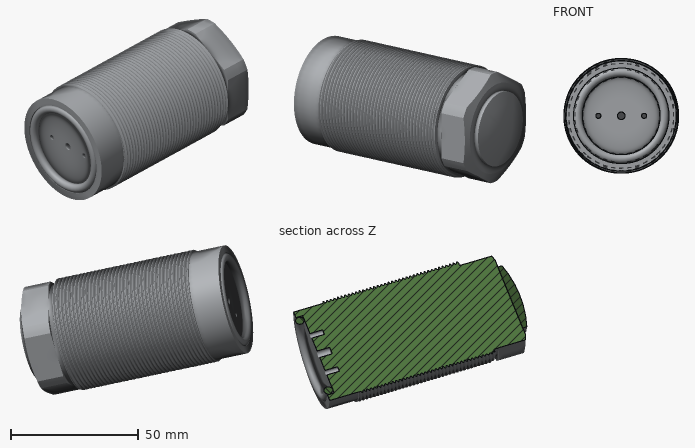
import cadquery as cq
import math


thread_start = 12.2
thread_end = 68.75
hex_start = 70.6
hex_end = 82.7
ring_protrusion = 0.7
overall_length = 87.25
dome_apex = overall_length - ring_protrusion

thread_diameter = 45.0
thread_turns = 37.7
thread_length = thread_end - thread_start
thread_pitch = thread_length / thread_turns
thread_flank_angle = 30.0
crest_flat = thread_pitch / 8
root_flat = thread_pitch / 6
thread_depth = (thread_pitch - crest_flat - root_flat) / (2 * math.tan(math.radians(thread_flank_angle)))
thread_phase = 90.0
sewing_tolerance = 0.001
nose_diameter = 43.4
neck_diameter = 41.2
across_flats = 41.0
hex_sides = 6
hex_corner_diameter = thread_diameter
hex_top_diameter = 36.5
hex_chamfer_height = 1.4

center_hole_diameter = 3.0
side_hole_diameter = 2.0
side_hole_offset = 9.0
hole_depth = 5.2

ring_section = 3.5
ring_outer_diameter = 37.5
ring_mean_diameter = ring_outer_diameter - ring_section
recess_depth = ring_section - ring_protrusion

cap_diameter = 30.0
cap_rim_height = 1.7


def cylinder(diameter, start, end):
    """Cylinder on the Y axis between two stations."""
    return cq.Workplane("XZ", origin=(0, start, 0)).circle(diameter / 2).extrude(start - end)


def make_thread_strips():
    """Crest, flank, root and flank of a right-handed thread that starts at Z = 0 and runs along Z.

    Each strip spans two helices. It is made too long, then cut off square at both ends.
    """
    crest_radius = thread_diameter / 2
    root_radius = crest_radius - thread_depth
    flank_width = (thread_pitch - crest_flat - root_flat) / 2
    thread_form = [
        (crest_radius, 0),
        (crest_radius, crest_flat),
        (root_radius, crest_flat + flank_width),
        (root_radius, thread_pitch - flank_width),
        (crest_radius, thread_pitch),
    ]
    overrun = 2 * thread_pitch
    helix_length = thread_length + 2 * overrun
    edges = [
        cq.Wire.makeHelix(thread_pitch, helix_length, radius)
        .translate(cq.Vector(0, 0, place - overrun))
        .Edges()[0]
        for radius, place in thread_form
    ]
    slab_side = 2 * thread_diameter
    slab_corner = cq.Vector(-slab_side / 2, -slab_side / 2, 0)
    slab = cq.Solid.makeBox(slab_side, slab_side, thread_length, slab_corner)
    strips = []
    for lower_edge, upper_edge in zip(edges, edges[1:]):
        strip = cq.Face.makeRuledSurface(lower_edge, upper_edge)
        strips.extend(strip.intersect(slab).Faces())
    return strips


def make_end_face(strips, height):
    """Flat face that closes the thread strips at one height on the Z axis."""
    rim = [
        edge
        for strip in strips
        for edge in strip.Edges()
        if max(abs(edge.startPoint().z - height), abs(edge.endPoint().z - height)) < sewing_tolerance
    ]
    return cq.Face.makeFromWires(cq.Wire.combine(rim, sewing_tolerance)[0])


def make_threaded_sleeve():
    """Solid closed by the thread strips and two flat ends, turned from the Z axis to the Y axis."""
    strips = make_thread_strips()
    ends = [make_end_face(strips, height) for height in (0, thread_length)]
    sleeve = cq.Solid.makeSolid(cq.Shell.makeShell(strips + ends))
    return (
        cq.Workplane(sleeve)
        .rotate((0, 0, 0), (0, 0, 1), thread_phase)
        .rotate((0, 0, 0), (1, 0, 0), -90)
        .translate((0, thread_start, 0))
    )


def make_hex_head():
    """Hexagon with flats on +X and -X, rounded corners and a conical chamfer at the cap end."""
    hexagon_diameter = across_flats / math.cos(math.pi / hex_sides)
    hexagon = (
        cq.Workplane("XZ", origin=(0, hex_start, 0))
        .polygon(hex_sides, hexagon_diameter)
        .extrude(hex_start - hex_end)
        .rotate((0, 0, 0), (0, 1, 0), 180 / hex_sides)
    )
    corner_radius = hex_corner_diameter / 2
    turned_blank = (
        cq.Workplane("XY")
        .polyline([
            (0, hex_start),
            (corner_radius, hex_start),
            (corner_radius, hex_end - hex_chamfer_height),
            (hex_top_diameter / 2, hex_end),
            (0, hex_end),
        ])
        .close()
        .revolve(360, (0, 0, 0), (0, 1, 0))
    )
    return hexagon.intersect(turned_blank)


def make_housing():
    """Nose with ring recess and holes, threaded sleeve, neck and hexagonal head in one solid."""
    nose = cylinder(nose_diameter, 0, thread_start).cut(cylinder(ring_outer_diameter, 0, recess_depth))
    hole_end = recess_depth + hole_depth
    nose = nose.cut(cylinder(center_hole_diameter, recess_depth, hole_end))
    for side in (-1, 1):
        side_hole = cylinder(side_hole_diameter, recess_depth, hole_end)
        nose = nose.cut(side_hole.translate((side * side_hole_offset, 0, 0)))
    neck = cylinder(neck_diameter, thread_end, hex_start)
    return nose.union(make_threaded_sleeve()).union(neck).union(make_hex_head()).solids()


def make_sealing_ring():
    """Torus that rests on the recess floor and stands proud of the sealing face."""
    ring_center = recess_depth - ring_section / 2
    return (
        cq.Workplane("XY")
        .center(ring_mean_diameter / 2, ring_center)
        .circle(ring_section / 2)
        .revolve(360, (-ring_mean_diameter / 2, 0, 0), (-ring_mean_diameter / 2, 1, 0))
    )


def make_domed_cap():
    """Disc with a spherical dome, seated on the end of the hexagon."""
    cap_radius = cap_diameter / 2
    rim_top = hex_end + cap_rim_height
    dome_height = dome_apex - rim_top
    dome_radius = (cap_radius**2 + dome_height**2) / (2 * dome_height)
    half_angle = math.asin(cap_radius / dome_radius) / 2
    dome_middle = (
        dome_radius * math.sin(half_angle),
        dome_apex - dome_radius * (1 - math.cos(half_angle)),
    )
    return (
        cq.Workplane("XY")
        .moveTo(0, hex_end)
        .lineTo(cap_radius, hex_end)
        .lineTo(cap_radius, rim_top)
        .threePointArc(dome_middle, (0, dome_apex))
        .close()
        .revolve(360, (0, 0, 0), (0, 1, 0))
    )


housing = make_housing()
sealing_ring = make_sealing_ring()
domed_cap = make_domed_cap()

result = cq.Compound.makeCompound([housing.val(), sealing_ring.val(), domed_cap.val()])